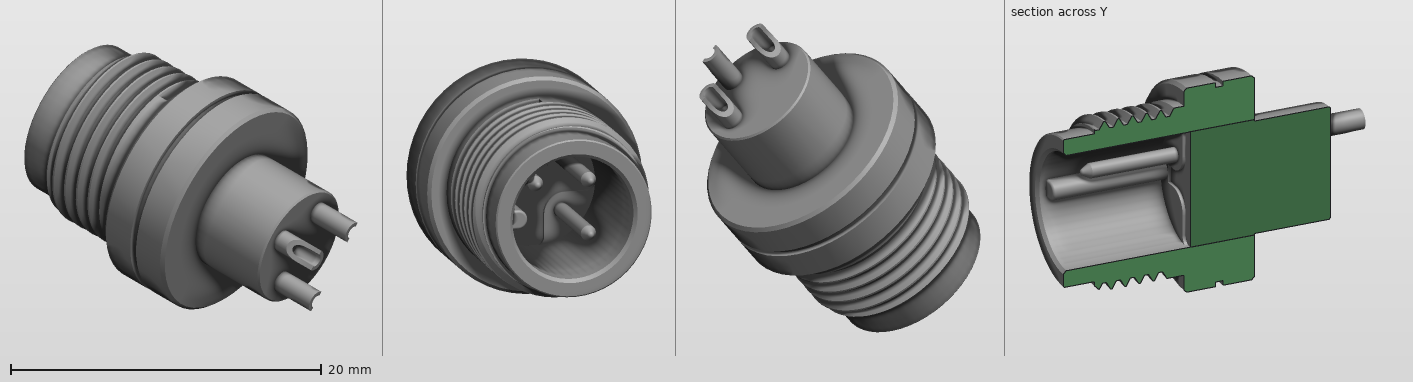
import cadquery as cq
import math

length = 22.0

cut_margin = 0.1

rim_radius = 5.25
rim_chamfer = 0.09
thread_start = 2.2
thread_root_radius = 5.48
thread_crest_radius = 6.0
thread_lead_in_radius = 5.52
flange_diameter = 14.5
flange_radius = flange_diameter / 2
flange_front = 8.55
flange_back = 13.62
flange_chamfer = 0.22
flange_groove_front = 10.85
flange_groove_width = 0.5
flange_groove_depth = 0.33
socket_radius = 4.07
socket_chamfer = 0.22

pitches_in_length = 22
thread_pitch = length / pitches_in_length
thread_turns = 6
thread_groove_end = 7.44
thread_groove_root_width = 0.26
thread_flank_angle = 30.0

insert_front = 8.8
insert_back = 19.0
boss_radius = 4.0
boss_chamfer = 0.1
key_width = 1.28
key_front = 0.65
key_tip = 2.9
key_fillet = 0.18
cross_depth = 0.22
cross_reach = 4.14
cross_corner_radius = 1.4

pin_offset = 1.78
pin_front = 2.05
pin_radius = 0.5
pin_tip_length = 0.65
pin_tip_radius = 0.22
pin_dome_height = 0.13
tail_diameter = 1.43
tail_radius = tail_diameter / 2
cup_bore_diameter = 0.85
cup_bore_radius = cup_bore_diameter / 2
cup_bore_depth = 1.98
cup_flat_length = 0.53
cup_runout_radius = 1.91
pin_places = [
    (pin_offset, pin_offset, -45),
    (-pin_offset, pin_offset, 135),
    (-pin_offset, -pin_offset, -45),
]


def turned(profile):
    """Revolve an (x, radius) outline about the X axis."""
    return cq.Workplane("XY").polyline(profile).close().revolve(360, (0, 0, 0), (1, 0, 0))


def rod(x_start, x_end, radius, y=0.0, z=0.0):
    """Cylinder parallel to X."""
    return cq.Workplane("YZ", origin=(x_start, y, z)).circle(radius).extrude(x_end - x_start)


def make_thread_groove():
    """Helical groove, made along Z and then laid along X with both of its ends at the top."""
    height = thread_pitch * thread_turns
    depth = thread_crest_radius - thread_root_radius + cut_margin
    root_half = thread_groove_root_width / 2
    mouth_half = root_half + depth * math.tan(math.radians(thread_flank_angle))
    mouth_radius = thread_root_radius + depth
    helix = cq.Wire.makeHelix(thread_pitch, height, thread_root_radius)
    profile = cq.Workplane("XZ").polyline([
        (thread_root_radius, -root_half),
        (mouth_radius, -mouth_half),
        (mouth_radius, mouth_half),
        (thread_root_radius, root_half),
    ]).close()
    groove = profile.sweep(cq.Workplane(helix), isFrenet=True)
    groove = groove.rotate((0, 0, 0), (0, 1, 0), 90).rotate((0, 0, 0), (1, 0, 0), 180)
    return groove.translate((thread_groove_end - height, 0, 0))


def make_shell():
    """Turned sleeve with rim, threaded length and grooved flange around a plain socket bore."""
    lead_in = thread_crest_radius - thread_lead_in_radius
    flange_face_radius = flange_radius - flange_chamfer
    groove_back = flange_groove_front + flange_groove_width
    groove_radius = flange_radius - flange_groove_depth
    body = turned([
        (0, socket_radius + socket_chamfer),
        (0, rim_radius - rim_chamfer),
        (rim_chamfer, rim_radius),
        (thread_start, rim_radius),
        (thread_start, thread_lead_in_radius),
        (thread_start + lead_in, thread_crest_radius),
        (flange_front, thread_crest_radius),
        (flange_front, flange_face_radius),
        (flange_front + flange_chamfer, flange_radius),
        (flange_groove_front, flange_radius),
        (flange_groove_front, groove_radius),
        (groove_back, groove_radius),
        (groove_back, flange_radius),
        (flange_back - flange_chamfer, flange_radius),
        (flange_back, flange_face_radius),
        (flange_back, socket_radius),
        (socket_chamfer, socket_radius),
    ])
    return body.cut(make_thread_groove())


def make_key():
    """Round-nosed coding key along the +Y side of the socket, standing on the insert's face."""
    nose_radius = key_width / 2
    key_length = insert_front - key_front
    nose_centre = key_tip + nose_radius
    bar = (
        cq.Workplane("YZ", origin=(key_front, 0, 0))
        .moveTo(socket_radius, nose_radius)
        .lineTo(nose_centre, nose_radius)
        .threePointArc((key_tip, 0), (nose_centre, -nose_radius))
        .lineTo(socket_radius, -nose_radius)
        .close()
        .extrude(key_length)
    )
    bar = bar.faces("<X").edges("not(>Y)").fillet(key_fillet)
    return bar.intersect(rod(key_front, insert_front, socket_radius))


def make_cross():
    """Round-ended cross with filleted inner corners; its +Y arm stops square at the key."""
    upright = cq.Workplane("YZ").slot2D(2 * cross_reach, key_width, 90).extrude(cross_depth)
    end_centre = cross_reach - key_width / 2
    arm = cq.Workplane("YZ").center((key_tip - end_centre) / 2, 0)
    arm = arm.rect(key_tip + end_centre, key_width).extrude(cross_depth)
    arm_end = cq.Workplane("YZ").center(-end_centre, 0).circle(key_width / 2).extrude(cross_depth)
    cross = upright.union(arm).union(arm_end)
    inner_corners = cq.selectors.BoxSelector(
        (-cross_depth, -key_width, -key_width), (2 * cross_depth, key_width, key_width)
    )
    cross = cross.edges("|X").edges(inner_corners).fillet(cross_corner_radius)
    return cross.translate((insert_front, 0, 0))


def make_insert():
    """Plug filling the back of the socket, with key, cross recess, rear boss and pin holes."""
    boss = rod(flange_back, insert_back, boss_radius).faces(">X").edges().chamfer(boss_chamfer)
    body = rod(insert_front, flange_back, socket_radius).union(boss)
    body = body.union(make_key()).cut(make_cross())
    for y, z, _ in pin_places:
        body = body.cut(rod(insert_front, insert_back, pin_radius, y, z))
    return body


def make_cup_cutter():
    """Material above a solder cup: half of the tail, with a round run-out, and the cup bore."""
    flat_start = length - cup_flat_length
    top = tail_radius + cut_margin
    arc_run = math.sqrt(cup_runout_radius**2 - (cup_runout_radius - top) ** 2)
    mid_angle = math.asin(arc_run / cup_runout_radius) / 2
    arc_middle = (
        flat_start - cup_runout_radius * math.sin(mid_angle),
        cup_runout_radius * (1 - math.cos(mid_angle)),
    )
    scoop = (
        cq.Workplane("XY")
        .moveTo(length, 0)
        .lineTo(flat_start, 0)
        .threePointArc(arc_middle, (flat_start - arc_run, top))
        .lineTo(length, top)
        .close()
        .extrude(top, both=True)
    )
    return scoop.union(rod(length - cup_bore_depth, length, cup_bore_radius))


def make_pin(y, z, cup_angle):
    """Contact pin with a domed conical tip and a thicker tail ending in a solder cup."""
    cone_front = pin_front + pin_dome_height
    dome_radius = (pin_tip_radius**2 + pin_dome_height**2) / (2 * pin_dome_height)
    half_angle = math.asin(pin_tip_radius / dome_radius) / 2
    dome_middle = (
        pin_front + dome_radius * (1 - math.cos(half_angle)),
        dome_radius * math.sin(half_angle),
    )
    pin = (
        cq.Workplane("XY")
        .moveTo(pin_front, 0)
        .threePointArc(dome_middle, (cone_front, pin_tip_radius))
        .lineTo(pin_front + pin_tip_length, pin_radius)
        .lineTo(insert_back, pin_radius)
        .lineTo(insert_back, tail_radius)
        .lineTo(length, tail_radius)
        .lineTo(length, 0)
        .close()
        .revolve(360, (0, 0, 0), (1, 0, 0))
    )
    pin = pin.cut(make_cup_cutter())
    return pin.rotate((0, 0, 0), (1, 0, 0), cup_angle).translate((0, y, z))


shell = make_shell()
insert = make_insert()
pins = [make_pin(y, z, cup_angle) for y, z, cup_angle in pin_places]

result = cq.Compound.makeCompound([shell.val(), insert.val(), *[pin.val() for pin in pins]])